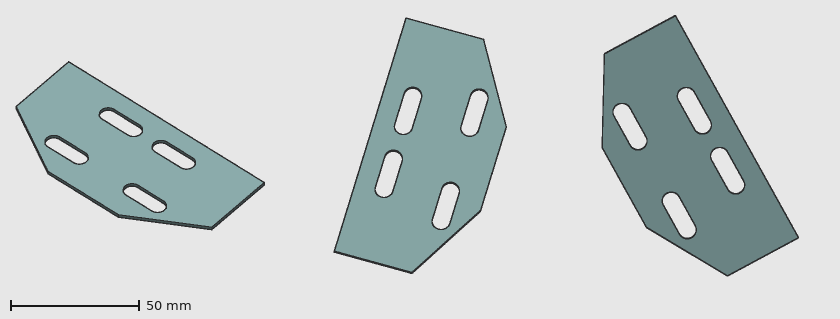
import cadquery as cq
import math

length = 100.0
width = 50.0
thickness = 1.5
front_edge_length = 36.0
corner_angle = 30.0

slot_length = 20.0
slot_width = 7.0
front_row_offset = 13.5
row_spacing = 25.0
front_slot_spacing = 40.0
rear_slot_spacing = 27.0

corner_run = (length - front_edge_length) / 2
corner_rise = corner_run * math.tan(math.radians(corner_angle))
front_y = -width / 2
rear_y = width / 2


def make_plate():
    """Flat plate with both front corners cut off."""
    outline = [
        (-length / 2, rear_y),
        (-length / 2, front_y + corner_rise),
        (-front_edge_length / 2, front_y),
        (front_edge_length / 2, front_y),
        (length / 2, front_y + corner_rise),
        (length / 2, rear_y),
    ]
    return cq.Workplane("XY").polyline(outline).close().extrude(thickness)


def make_slot_pair(spacing, y):
    """Two through slots along X, placed symmetrically about the centre line."""
    centres = [(-spacing / 2, y), (spacing / 2, y)]
    return (
        cq.Workplane("XY")
        .pushPoints(centres)
        .slot2D(slot_length, slot_width)
        .extrude(thickness)
    )


front_row_y = front_y + front_row_offset
rear_row_y = front_row_y + row_spacing

result = (
    make_plate()
    .cut(make_slot_pair(front_slot_spacing, front_row_y))
    .cut(make_slot_pair(rear_slot_spacing, rear_row_y))
)